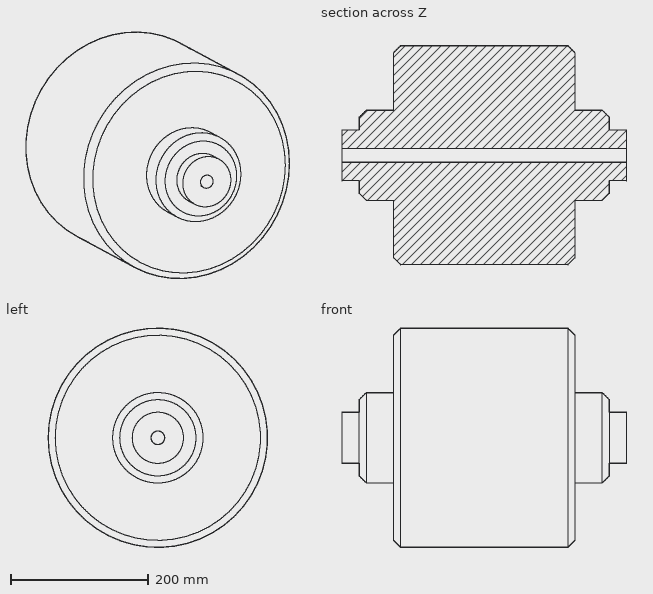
import cadquery as cq

shaft_length = 415.0
shaft_diameter = 74.5
hub_length = 364.8
hub_diameter = 132.0
body_length = 264.8
body_diameter = 320.0
edge_chamfer = 10.5
bore_diameter = 19.5


def centred_cylinder(diameter, length):
    """Cylinder along X, centred on the origin."""
    return cq.Workplane("YZ", origin=(-length / 2, 0, 0)).circle(diameter / 2).extrude(length)


def chamfered_cylinder(diameter, length):
    """Centred cylinder with both end rims chamfered."""
    return centred_cylinder(diameter, length).faces("<X or >X").edges().chamfer(edge_chamfer)


body = chamfered_cylinder(body_diameter, body_length)
hub = chamfered_cylinder(hub_diameter, hub_length)
shaft = centred_cylinder(shaft_diameter, shaft_length)
bore = centred_cylinder(bore_diameter, shaft_length)

result = body.union(hub).union(shaft).cut(bore)